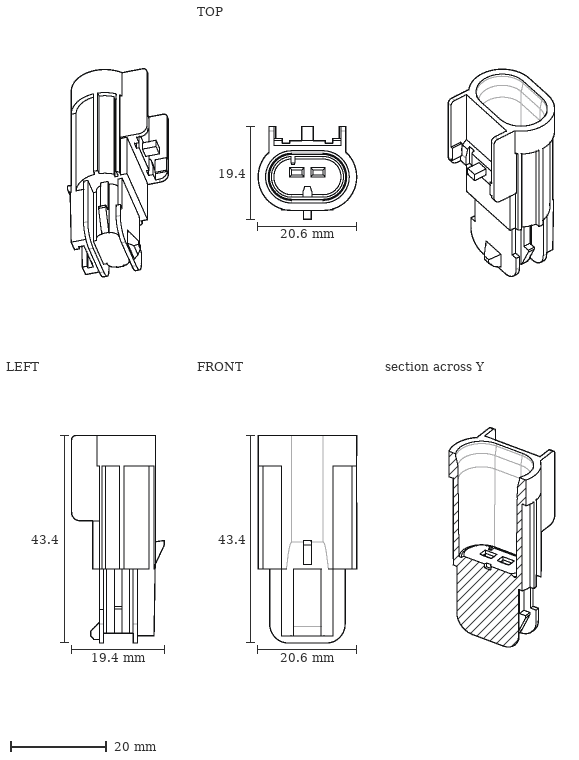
import cadquery as cq
import math

top_z = 43.4
band_bottom_z = 36.98
fin_bottom_z = 25.55
body_bottom_z = 15.5

center_spacing = 6.55
body_radius = 7.05
reach = center_spacing / 2 + body_radius
recess_radius = 6.05
back_face_y = 6.55

block_half_width = 5.4
block_back_y = -3.25
block_bottom_z = 1.5
tilt_start_z = 21.1
tilt_angle = 0.9
pocket_half_width = 2.85
pocket_lip_y = -5.65
pocket_undercut_half_width = 3.47
pocket_floor_y = -4.9
pocket_slope_top_z = 3.47
pocket_slope_run = 0.45

rib_front_y = -0.45
rib_back_y = 0.5
shoulder_front_y = 4.12
notch_front_y = 3.45
notch_half_width = 7.38

plate_half_width = 7.65
fin_outer_x = 8.05
plate_front_y = 4.75
plate_back_y = 6.1
fin_thickness = 1.0
fin_lip_half_width = 6.6
fin_tip_y = 10.55
fin_top_radius = 0.95
fin_bottom_radius = 1.75
bar_height = 5.2
bar_wide_half_width = 5.25
bar_wide_back_y = 7.05
bar_half_width = 3.75
bar_back_y = 7.6
rail_shoulder_y = 7.55
rail_back_y = 8.05
rail_steep_drop = 2.15
tab_half_width = 1.2
tab_thickness = 1.75

latch_half_width = 0.82
latch_embed = 0.45
latch_tip_y = -8.85
latch_tip_top_z = 21.5
latch_root_top_z = 21.22
latch_tip_bottom_z = 20.5
latch_root_bottom_z = 16.45

socket_profile = [(top_z, 5.45), (42.85, 5.42), (40.7, 4.95), (37.4, 4.9), (18.23, 4.7)]
socket_floor_z = socket_profile[-1][0]
core_radius = 4.25
core_height = 0.5
terminal_offset_x = 2.2
terminal_y = 0.95
terminal_length = 3.0
terminal_width = 1.9
terminal_bevel = 0.45
bevel_angle = 45.0
terminal_depth = 4.35
back_slot_x = -3.05
back_slot_width = 0.85
back_slot_end_y = 2.9
back_pit_width = 0.6
back_pit_end_y = 2.6
back_pit_depth = 0.45
front_slot_half_width = 0.9
front_slot_end_half_width = 0.55
front_slot_shoulder_y = -3.05
front_slot_end_y = -2.05
front_slot_depth = 0.45

flange_half_width = 7.9
flange_corner_radius = 4.0
flange_thickness = 0.9
front_flange_back_y = block_back_y + flange_thickness
back_flange_back_y = 4.75
back_flange_front_y = back_flange_back_y - flange_thickness
neck_half_width = 6.5
ear_top_z = 7.07
tower_half_width = 5.42
lance_half_width = 6.4
tower_bottom_z = 2.05
tower_front_y = -1.6
tower_back_y = 3.2
tower_edge_radius = 1.6
hook_front_y = 0.0
hook_back_y = 1.55
hook_top_z = 7.7
hook_tip_z = 7.1
hook_root_x = 5.6
bump_half_width = 2.6
bump_tip_half_width = 0.8
bump_tip_y = 6.55
bump_bevel_y = 5.8
bump_bottom_z = 0.75
bump_tip_bottom_z = 1.5
bump_tip_top_z = 2.5
bump_top_z = 4.4


def box(x0, x1, y0, y1, z0, z1):
    """Box between two corners."""
    return cq.Workplane("XY").box(x1 - x0, y1 - y0, z1 - z0, centered=False).translate((x0, y0, z0))


def stadium(radius, z0, z1, top_radius=None):
    """Upright stadium prism; it tapers when the top radius differs."""
    height = z1 - z0
    growth = 0 if top_radius is None else top_radius - radius
    outline = cq.Workplane("XY").workplane(offset=z0).slot2D(center_spacing + 2 * radius, 2 * radius)
    return outline.extrude(height, taper=-math.degrees(math.atan2(growth, height)))


def yz_prism(points, x0, x1):
    """Prism along X from an outline of (y, z) points."""
    return cq.Workplane("YZ").workplane(offset=x0).polyline(points).close().extrude(x1 - x0)


def xz_prism(points, y0, y1):
    """Prism along Y from an outline of (x, z) points."""
    return cq.Workplane("XZ").workplane(offset=-y1).polyline(points).close().extrude(y1 - y0)


def both_sides(solid):
    """A solid together with its mirror image across X = 0."""
    return solid.union(solid.mirror("YZ"))


def front_face_y(z):
    """Y of the tilted front face at height z."""
    return -body_radius + (tilt_start_z - z) * math.tan(math.radians(tilt_angle))


def tilted_front(half_width, back_y, z0, z1):
    """Block whose front follows the tilted face."""
    points = [(back_y, z0), (front_face_y(z0), z0), (front_face_y(z1), z1), (back_y, z1)]
    return yz_prism(points, -half_width, half_width)


def make_body():
    """Top band at full size and the recessed middle with its ribs and shoulders."""
    band = stadium(body_radius, band_bottom_z, top_z)
    middle = stadium(recess_radius, body_bottom_z, band_bottom_z)
    outer = stadium(body_radius, body_bottom_z, band_bottom_z)
    front = outer.intersect(
        box(-block_half_width, block_half_width, -body_radius, 0, body_bottom_z, band_bottom_z)
    )
    front = front.intersect(
        tilted_front(block_half_width, 0, body_bottom_z, tilt_start_z).union(
            box(-block_half_width, block_half_width, -body_radius, 0, tilt_start_z, band_bottom_z)
        )
    )
    ribs = outer.intersect(box(-reach, reach, rib_front_y, rib_back_y, body_bottom_z, band_bottom_z))
    shoulders = outer.intersect(
        box(-reach, reach, shoulder_front_y, plate_front_y, body_bottom_z, band_bottom_z)
    )
    notch = box(notch_half_width, reach, notch_front_y, shoulder_front_y, body_bottom_z, band_bottom_z)
    middle = middle.cut(both_sides(notch))
    body = band.union(middle).union(front).union(ribs).union(shoulders)
    return body.cut(box(-reach, reach, back_face_y, reach, body_bottom_z, top_z))


def make_back():
    """Back plate, two fins and the stepped crossbar joining them."""
    plate = box(-plate_half_width, plate_half_width, plate_front_y, plate_back_y, body_bottom_z, fin_bottom_z)
    plate = plate.union(
        box(-plate_half_width, plate_half_width, plate_front_y, back_face_y, fin_bottom_z, top_z)
    )
    fin_inner_x = fin_outer_x - fin_thickness
    fin = box(fin_inner_x, fin_outer_x, plate_front_y, fin_tip_y, fin_bottom_z, top_z)
    fin = fin.edges("|X and >Y and >Z").fillet(fin_top_radius)
    fin = fin.edges("|X and >Y and <Z").fillet(fin_bottom_radius)

    bar_top_z = fin_bottom_z + bar_height

    def ramp(back_y, x0, x1):
        """Bar section with a top that falls at 45 degrees away from the body."""
        outline = [
            (plate_front_y, fin_bottom_z),
            (back_y, fin_bottom_z),
            (back_y, bar_top_z - (back_y - back_face_y)),
            (back_face_y, bar_top_z),
            (plate_front_y, bar_top_z),
        ]
        return yz_prism(outline, x0, x1)

    rail_shoulder_z = bar_top_z - (rail_shoulder_y - back_face_y)
    rail = ramp(rail_shoulder_y, bar_wide_half_width, fin_inner_x)
    rail_back = yz_prism(
        [
            (rail_shoulder_y, rail_shoulder_z),
            (rail_back_y, rail_shoulder_z - rail_steep_drop),
            (rail_back_y, fin_bottom_z),
            (rail_shoulder_y, fin_bottom_z),
        ],
        bar_wide_half_width,
        fin_inner_x,
    )
    rail = rail.union(rail_back)
    lip_z = fin_bottom_z + fin_bottom_radius
    lip = box(fin_lip_half_width, fin_inner_x, rail_back_y, fin_tip_y, lip_z, bar_top_z)
    tab = box(
        -tab_half_width, tab_half_width, back_face_y, fin_tip_y,
        lip_z, lip_z + tab_thickness,
    )
    back = plate.union(both_sides(fin)).union(both_sides(rail)).union(both_sides(lip))
    back = back.union(ramp(bar_wide_back_y, -bar_wide_half_width, bar_wide_half_width))
    return back.union(ramp(bar_back_y, -bar_half_width, bar_half_width)).union(tab)


def make_front_block():
    """Block below the body with an open window in its front."""
    block = tilted_front(block_half_width, block_back_y, block_bottom_z, body_bottom_z)
    window = box(
        -pocket_half_width, pocket_half_width, -body_radius, pocket_lip_y, block_bottom_z, body_bottom_z
    )
    undercut = yz_prism(
        [
            (pocket_lip_y, body_bottom_z),
            (pocket_floor_y, body_bottom_z),
            (pocket_floor_y, pocket_slope_top_z),
            (pocket_floor_y + pocket_slope_run, block_bottom_z),
            (pocket_lip_y, block_bottom_z),
        ],
        -pocket_undercut_half_width,
        pocket_undercut_half_width,
    )
    return block.cut(window).cut(undercut)


def make_latch():
    """Wedge-shaped catch on the front."""
    root_y = -body_radius + latch_embed
    outline = [
        (root_y, latch_root_top_z),
        (-body_radius, latch_root_top_z),
        (latch_tip_y, latch_tip_top_z),
        (latch_tip_y, latch_tip_bottom_z),
        (front_face_y(latch_root_bottom_z), latch_root_bottom_z),
        (root_y, latch_root_bottom_z),
    ]
    return yz_prism(outline, -latch_half_width, latch_half_width)


def make_flange(y0, y1, top):
    """Plate with rounded lower corners."""
    flange = box(-flange_half_width, flange_half_width, y0, y1, 0, top)
    return flange.edges("|Y and <Z").fillet(flange_corner_radius)


def make_lower_end():
    """Everything behind the front block and below the body."""
    front_flange = make_flange(block_back_y, front_flange_back_y, body_bottom_z)
    ears = make_flange(back_flange_front_y, back_flange_back_y, ear_top_z)
    neck = box(
        -neck_half_width, neck_half_width, back_flange_front_y, back_flange_back_y,
        ear_top_z, body_bottom_z,
    )
    tower = box(
        -tower_half_width, tower_half_width, tower_front_y, tower_back_y, tower_bottom_z, body_bottom_z
    )
    tower = tower.edges("|Z").fillet(tower_edge_radius)
    web_half_width = tower_half_width - tower_edge_radius
    web = box(
        -web_half_width, web_half_width, front_flange_back_y, back_flange_front_y,
        tower_bottom_z, body_bottom_z,
    )
    lance = xz_prism(
        [
            (0, body_bottom_z),
            (lance_half_width, body_bottom_z),
            (lance_half_width, hook_top_z),
            (flange_half_width, hook_top_z),
            (flange_half_width, hook_tip_z),
            (hook_root_x, tower_bottom_z),
            (0, tower_bottom_z),
        ],
        hook_front_y,
        hook_back_y,
    )
    tower = tower.union(both_sides(lance))
    bump = yz_prism(
        [
            (back_flange_front_y, bump_bottom_z),
            (bump_bevel_y, bump_bottom_z),
            (bump_tip_y, bump_tip_bottom_z),
            (bump_tip_y, bump_tip_top_z),
            (back_flange_back_y, bump_top_z),
            (back_flange_front_y, bump_top_z),
        ],
        -bump_half_width,
        bump_half_width,
    )
    bump_plan = cq.Workplane("XY").polyline(
        [
            (-bump_half_width, back_flange_front_y),
            (bump_half_width, back_flange_front_y),
            (bump_half_width, back_flange_back_y),
            (bump_tip_half_width, bump_tip_y),
            (-bump_tip_half_width, bump_tip_y),
            (-bump_half_width, back_flange_back_y),
        ]
    ).close()
    bump = bump.intersect(bump_plan.extrude(bump_top_z))
    return front_flange.union(ears).union(neck).union(tower).union(web).union(bump)


def make_socket():
    """Space to remove from the body; a raised core with two terminal holes stands on its floor."""
    space = None
    for (z_high, r_high), (z_low, r_low) in zip(socket_profile, socket_profile[1:]):
        step = stadium(r_low, z_low, z_high, r_high)
        space = step if space is None else space.union(step)
    core_top_z = socket_floor_z + core_height
    core = stadium(core_radius, socket_floor_z, core_top_z, core_radius - core_height)

    back_slot = box(
        back_slot_x - back_slot_width / 2, back_slot_x + back_slot_width / 2,
        back_slot_end_y, core_radius, socket_floor_z, core_top_z,
    )
    back_pit = box(
        back_slot_x - back_pit_width / 2, back_slot_x + back_pit_width / 2,
        back_pit_end_y, back_slot_end_y, socket_floor_z - back_pit_depth, core_top_z,
    )
    space = space.cut(core.cut(back_slot)).union(back_pit)

    front_slot = cq.Workplane("XY").workplane(offset=socket_floor_z - front_slot_depth)
    front_slot = front_slot.polyline(
        [
            (-front_slot_half_width, -core_radius),
            (front_slot_half_width, -core_radius),
            (front_slot_half_width, front_slot_shoulder_y),
            (front_slot_end_half_width, front_slot_end_y),
            (-front_slot_end_half_width, front_slot_end_y),
            (-front_slot_half_width, front_slot_shoulder_y),
        ]
    ).close().extrude(front_slot_depth + core_height)
    space = space.union(front_slot)

    for side in (-1, 1):
        mouth = cq.Workplane("XY").workplane(offset=core_top_z)
        mouth = mouth.center(side * terminal_offset_x, terminal_y)
        bevel = mouth.rect(terminal_length, terminal_width).extrude(-terminal_bevel, taper=bevel_angle)
        hole = mouth.rect(terminal_length - 2 * terminal_bevel, terminal_width - 2 * terminal_bevel)
        space = space.union(bevel).union(hole.extrude(-terminal_depth))
    return space


result = make_body().union(make_back()).union(make_front_block()).union(make_latch())
result = result.union(make_lower_end()).cut(make_socket())